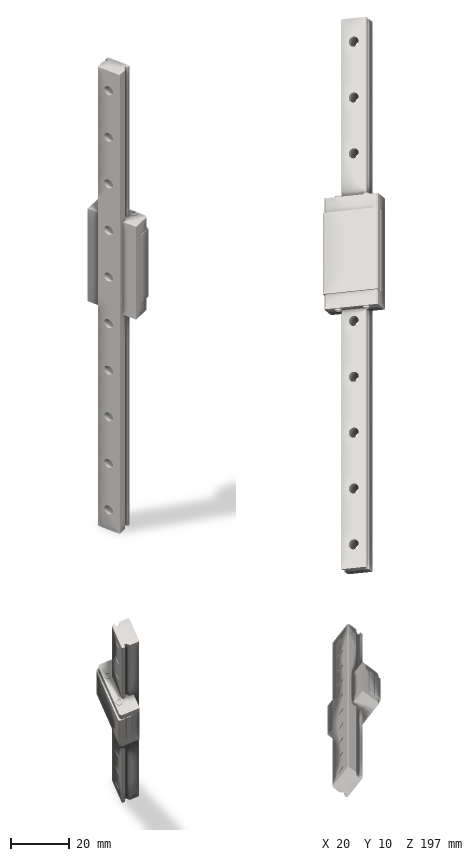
import cadquery as cq

RAIL_LENGTH = 197.0
RAIL_WIDTH = 9.0
RAIL_HEIGHT = 6.5
RAIL_CHAMFER = 0.3
GROOVE_BOTTOM = 3.5
GROOVE_FLOOR_BOTTOM = 4.5
GROOVE_TOP = 5.3
GROOVE_DEPTH = 1.0

HOLE_COUNT = 10
HOLE_END_DISTANCE = 8.5
HOLE_PITCH = (RAIL_LENGTH - 2 * HOLE_END_DISTANCE) / (HOLE_COUNT - 1)
HOLE_DIAMETER = 3.5

CARRIAGE_WIDTH = 20.0
CARRIAGE_LENGTH = 39.8
CARRIAGE_CENTER_Z = 14.2
CARRIAGE_BOTTOM = 2.2
CARRIAGE_TOP = 10.0
CAP_TOP = 9.5
CAP_SIDE_INSET = 0.2
CAP_CHAMFER = 0.5
BLOCK_LENGTH = 29.2
BLOCK_BOTTOM = 5.3
BLOCK_CHAMFER = 0.4
SIDE_GROOVE_BOTTOM = 6.9
SIDE_GROOVE_TOP = 7.5
SIDE_GROOVE_DEPTH = 0.2

SCREW_SPACING = 10.2
SCREW_HEIGHT = 7.9
SCREW_DIAMETER = 2.4
SCREW_SOCKET_DIAMETER = 1.5
SCREW_THICKNESS = 0.5


def make_rail_bar():
    """Rail without its fixing holes."""
    side = RAIL_WIDTH / 2
    groove_floor = side - GROOVE_DEPTH
    right_side = [
        (side - RAIL_CHAMFER, 0),
        (side, RAIL_CHAMFER),
        (side, GROOVE_BOTTOM),
        (groove_floor, GROOVE_FLOOR_BOTTOM),
        (groove_floor, GROOVE_TOP),
        (side, GROOVE_TOP),
        (side, RAIL_HEIGHT - RAIL_CHAMFER),
        (side - RAIL_CHAMFER, RAIL_HEIGHT),
    ]
    left_side = [(-x, y) for x, y in reversed(right_side)]
    profile = cq.Workplane("XY").polyline(right_side + left_side).close()
    return profile.extrude(RAIL_LENGTH / 2, both=True)


def make_rail():
    """Rail with a row of plain holes through its height."""
    holes = (
        cq.Workplane("XZ")
        .rarray(2, HOLE_PITCH, 1, HOLE_COUNT)
        .circle(HOLE_DIAMETER / 2)
        .extrude(-RAIL_HEIGHT)
    )
    return make_rail_bar().cut(holes)


def make_bar(width, bottom, top, length):
    """Box centred on the carriage in X and Z, between two heights in Y."""
    center = (0, (bottom + top) / 2, CARRIAGE_CENTER_Z)
    return cq.Workplane("XY").box(width, top - bottom, length).translate(center)


def make_block():
    """Central block with chamfered top edges and a shallow groove along each side."""
    block = make_bar(CARRIAGE_WIDTH, BLOCK_BOTTOM, CARRIAGE_TOP, BLOCK_LENGTH)
    block = block.faces(">Y").edges("|Z").chamfer(BLOCK_CHAMFER)
    groove_height = SIDE_GROOVE_TOP - SIDE_GROOVE_BOTTOM
    groove_y = (SIDE_GROOVE_TOP + SIDE_GROOVE_BOTTOM) / 2
    for side in (-1, 1):
        groove = cq.Workplane("XY").box(2 * SIDE_GROOVE_DEPTH, groove_height, BLOCK_LENGTH)
        block = block.cut(groove.translate((side * CARRIAGE_WIDTH / 2, groove_y, CARRIAGE_CENTER_Z)))
    return block


def make_screw_head(x, start_z):
    """Ring-shaped screw head with a round socket through it."""
    return (
        cq.Workplane("XY", origin=(x, SCREW_HEIGHT, start_z))
        .circle(SCREW_DIAMETER / 2)
        .circle(SCREW_SOCKET_DIAMETER / 2)
        .extrude(SCREW_THICKNESS)
    )


def make_carriage():
    """End caps, central block and screw heads as one solid, fitted around the rail."""
    cap_width = CARRIAGE_WIDTH - 2 * CAP_SIDE_INSET
    body = make_bar(cap_width, CARRIAGE_BOTTOM, CAP_TOP, CARRIAGE_LENGTH)
    body = body.faces(">Y").edges("|Z").chamfer(CAP_CHAMFER)
    body = body.union(make_block())
    lower_end = CARRIAGE_CENTER_Z - CARRIAGE_LENGTH / 2
    upper_end = CARRIAGE_CENTER_Z + CARRIAGE_LENGTH / 2
    for start_z in (lower_end - SCREW_THICKNESS, upper_end):
        for x in (-SCREW_SPACING / 2, SCREW_SPACING / 2):
            body = body.union(make_screw_head(x, start_z))
    return body.cut(make_rail_bar())


rail = make_rail()
carriage = make_carriage()

result = cq.Compound.makeCompound([rail.val(), carriage.val()])